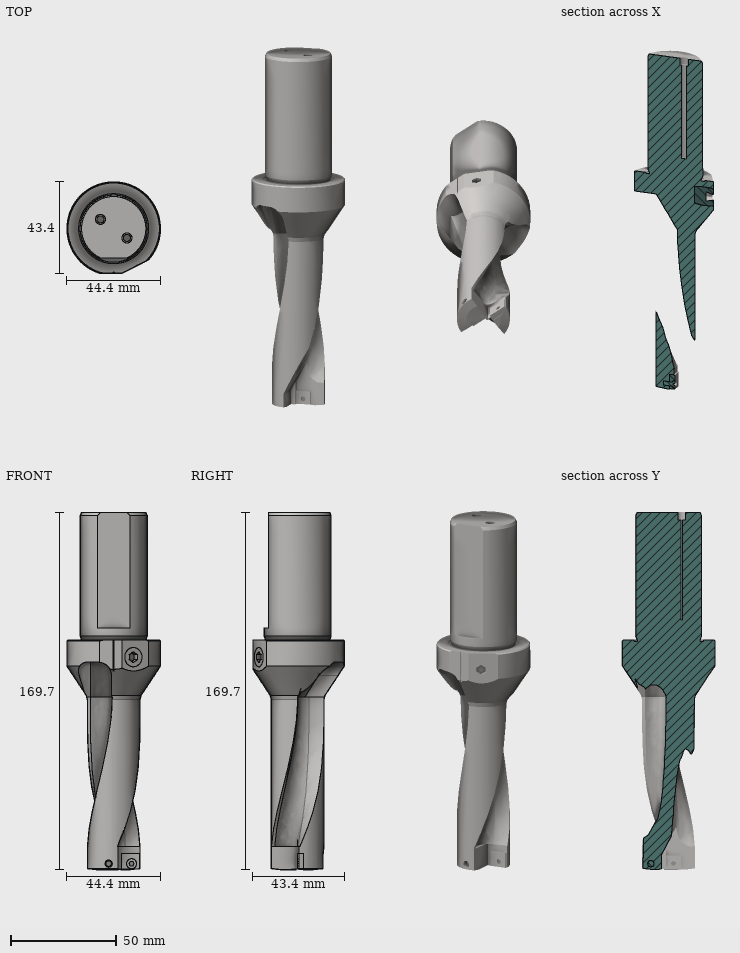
import cadquery as cq
import math

TOTAL_LENGTH = 169.7
OVERSHOOT = 8.5

DRILL_RADIUS = 12.5
TIP_CREST_RADIUS = 8.1
TIP_CENTRE_RISE = 0.3
TIP_RIM_RISE = 0.5

NECK_BOTTOM_Z = 80.8
CONE_BOTTOM_Z = 82.8
CONE_BOTTOM_RADIUS = 13.0
FLANGE_BOTTOM_Z = 96.7
FLANGE_TOP_Z = 109.1
FLANGE_RADIUS = 22.2
FLANGE_CHAMFER = 0.5
FLANGE_FLAT_OFFSET = 21.2
SCREW_FLAT_OFFSET = 20.7
SCREW_FLAT_TURN = 27.0
MARK_WIDTH = 0.5
MARK_DEPTH = 0.5

SHANK_RADIUS = 16.0
SHANK_CHAMFER_RADIUS = 15.3
SHANK_CHAMFER_HEIGHT = 1.5
SHANK_BOTTOM_Z = 111.0
SHANK_FLAT_OFFSET = 13.9
SHANK_FLAT_BOTTOM_Z = 114.9
RELIEF_RADIUS = 16.6
RELIEF_DEPTH = 0.5

COOLANT_X = 6.3
COOLANT_Y = -4.4
COOLANT_RADIUS = 1.7
COOLANT_DEPTH = 50.9
COOLANT_MOUTH_RADIUS = 2.4
COOLANT_MOUTH_DEPTH = 3.4

FLUTE_TOP_Z = 82.0
FLUTE_BOTTOM_Z = 11.0
FLUTE_TWIST = 82.0
FLUTE_TWIST_POWER = 1.75
FLUTE_SECTIONS = 12
FLUTE_FACE_X = -0.7
FLUTE_ARC_Y = -5.5
FLUTE_ARC_RADIUS = 6.5
FLUTE_LIP_X = -11.0
FLUTE_LIP_RISE = 0.8
FLUTE_REACH = 17.0

RUNOUT_SLOPE = 0.64
RUNOUT_TOP_Z = 98.6
RUNOUT_INNER_X = -1.0
RUNOUT_OUTER_X = -18.3
RUNOUT_START_X = -13.2
RUNOUT_LIP_RISE = 10.2
RUNOUT_INNER_RADIUS = 6.5
RUNOUT_OUTER_RADIUS = 4.2

POCKET_WALL_X = 2.0
POCKET_FLOOR_Y = 0.7
INSERT_THICKNESS = 2.7
INSERT_BOTTOM_Z = 0.3
OUTER_INSERT = {"inner_x": 3.7, "outer_x": 12.2, "height": 7.6, "screw_x": 8.5, "screw_length": 6.0}
INNER_INSERT = {"inner_x": -1.2, "outer_x": 6.0, "height": 6.6, "screw_x": 2.4, "screw_length": 9.2}

GULLET_WALL_X = -3.4
GULLET_STEP_Y = -1.2
GULLET_ROOF_AXIS_Z = 13.4
GULLET_ROOF_SLOPE = 1.9

INSERT_SCREW_Z = 2.9
INSERT_SCREW_RADIUS = 1.4
INSERT_SCREW_HEAD_RADIUS = 2.4
INSERT_SCREW_HEAD_HEIGHT = 1.7
INSERT_SOCKET_RADIUS = 1.2
INSERT_SOCKET_DEPTH = 1.0
SCREW_OUTLET_RADIUS = 1.7
SCREW_OUTLET_START = 8.5

SET_SCREW_X = 9.3
SET_SCREW_Z = 101.0
SET_SCREW_RADIUS = 4.5
SET_SCREW_LENGTH = 8.5
SET_SCREW_SOCKET_DIAMETER = 5.0
SET_SCREW_SOCKET_DEPTH = 3.4


def box(x_range, y_range, z_range):
    size = [high - low for low, high in (x_range, y_range, z_range)]
    return cq.Workplane("XY").box(*size, centered=False).translate((x_range[0], y_range[0], z_range[0]))


def half_turn(shape):
    return shape.rotate((0, 0, 0), (0, 0, 1), 180)


def turned_blank():
    outline = [
        (0, TIP_CENTRE_RISE),
        (TIP_CREST_RADIUS, 0),
        (DRILL_RADIUS, TIP_RIM_RISE),
        (DRILL_RADIUS, NECK_BOTTOM_Z),
        (CONE_BOTTOM_RADIUS, CONE_BOTTOM_Z),
        (FLANGE_RADIUS, FLANGE_BOTTOM_Z),
        (FLANGE_RADIUS, FLANGE_TOP_Z - FLANGE_CHAMFER),
        (FLANGE_RADIUS - FLANGE_CHAMFER, FLANGE_TOP_Z),
        (RELIEF_RADIUS, FLANGE_TOP_Z),
        (RELIEF_RADIUS, FLANGE_TOP_Z - RELIEF_DEPTH),
        (SHANK_CHAMFER_RADIUS, FLANGE_TOP_Z - RELIEF_DEPTH),
        (SHANK_CHAMFER_RADIUS, FLANGE_TOP_Z),
        (SHANK_RADIUS, SHANK_BOTTOM_Z),
        (SHANK_RADIUS, TOTAL_LENGTH - SHANK_CHAMFER_HEIGHT),
        (SHANK_CHAMFER_RADIUS, TOTAL_LENGTH),
        (0, TOTAL_LENGTH),
    ]
    return cq.Workplane("XZ").polyline(outline).close().revolve(360, (0, 0), (0, 1))


def front_cut(offset, bottom_z, top_z):
    """Material in front of the plane Y = -offset."""
    return box((-FLANGE_RADIUS, FLANGE_RADIUS), (-offset - OVERSHOOT, -offset), (bottom_z, top_z))


def flange_cuts():
    front = front_cut(FLANGE_FLAT_OFFSET, CONE_BOTTOM_Z, FLANGE_TOP_Z)
    slanted = front_cut(SCREW_FLAT_OFFSET, CONE_BOTTOM_Z, FLANGE_TOP_Z)
    slanted = slanted.rotate((0, 0, 0), (0, 0, 1), SCREW_FLAT_TURN)
    mark = box(
        (-MARK_WIDTH / 2, MARK_WIDTH / 2),
        (-FLANGE_RADIUS, MARK_DEPTH - FLANGE_FLAT_OFFSET),
        (CONE_BOTTOM_Z, FLANGE_TOP_Z),
    )
    return [front, slanted, mark]


def coolant_holes():
    holes = cq.Workplane("XY", origin=(0, 0, TOTAL_LENGTH))
    holes = holes.pushPoints([(COOLANT_X, COOLANT_Y), (-COOLANT_X, -COOLANT_Y)])
    bores = holes.circle(COOLANT_RADIUS).extrude(-COOLANT_DEPTH)
    return bores.union(holes.circle(COOLANT_MOUTH_RADIUS).extrude(-COOLANT_MOUTH_DEPTH))


def flute_wire(z, lip_rise=FLUTE_LIP_RISE):
    """Flute section at height z: a flat face, a round bottom that runs on from it, and a lip at the rim."""
    arc_x = FLUTE_FACE_X - FLUTE_ARC_RADIUS
    lip_y = FLUTE_ARC_Y + math.sqrt(FLUTE_ARC_RADIUS**2 - (arc_x - FLUTE_LIP_X) ** 2)
    section = (
        cq.Workplane("XY")
        .moveTo(FLUTE_FACE_X, -FLUTE_REACH)
        .lineTo(FLUTE_FACE_X, FLUTE_ARC_Y)
        .threePointArc((arc_x, FLUTE_ARC_Y + FLUTE_ARC_RADIUS), (FLUTE_LIP_X, lip_y))
        .lineTo(-FLUTE_REACH, lip_y + lip_rise)
        .lineTo(-FLUTE_REACH, -FLUTE_REACH)
        .close()
    )
    share = (FLUTE_TOP_Z - z) / (FLUTE_TOP_Z - FLUTE_BOTTOM_Z)
    turn = -FLUTE_TWIST * share ** FLUTE_TWIST_POWER
    return section.val().rotate(cq.Vector(0, 0, 0), cq.Vector(0, 0, 1), turn).translate(cq.Vector(0, 0, z))


def flute():
    step = (FLUTE_TOP_Z - FLUTE_BOTTOM_Z) / (FLUTE_SECTIONS - 1)
    wires = [flute_wire(FLUTE_BOTTOM_Z + i * step) for i in range(FLUTE_SECTIONS)]
    return cq.Workplane(cq.Solid.makeLoft(wires))


def flute_runout():
    """The top flute section carried up and outward through the cone, with a round upper end."""
    rise = FLANGE_TOP_Z - FLUTE_TOP_Z
    lower = flute_wire(FLUTE_TOP_Z)
    upper = flute_wire(FLUTE_TOP_Z, RUNOUT_LIP_RISE).translate(cq.Vector(0, -RUNOUT_SLOPE * rise, rise))
    channel = cq.Workplane(cq.Solid.makeLoft([lower, upper], True))
    depth = FLANGE_RADIUS + OVERSHOOT
    outline = [
        (RUNOUT_INNER_X, FLUTE_TOP_Z),
        (RUNOUT_INNER_X, RUNOUT_TOP_Z),
        (RUNOUT_OUTER_X, RUNOUT_TOP_Z),
        (RUNOUT_START_X, FLUTE_TOP_Z),
    ]
    opening = cq.Workplane("XZ").polyline(outline).close().extrude(depth, both=True)
    opening = opening.edges("|Y and >Z and >X").fillet(RUNOUT_INNER_RADIUS)
    opening = opening.edges("|Y and <X").fillet(RUNOUT_OUTER_RADIUS)
    return channel.intersect(opening)


def tip_pocket():
    return box((POCKET_WALL_X, FLUTE_REACH), (-FLUTE_REACH, POCKET_FLOOR_Y), (-OVERSHOOT, FLUTE_BOTTOM_Z))


def gullet():
    """Open space in front of the inner insert, with a stepped wall and a sloping roof."""
    wall_x = INNER_INSERT["inner_x"]
    plan = [
        (wall_x, POCKET_FLOOR_Y),
        (wall_x, GULLET_STEP_Y),
        (GULLET_WALL_X, GULLET_STEP_Y),
        (GULLET_WALL_X, -FLUTE_REACH),
        (FLUTE_REACH, -FLUTE_REACH),
        (FLUTE_REACH, POCKET_FLOOR_Y),
    ]
    roof_rise = GULLET_ROOF_SLOPE * FLUTE_REACH
    side = [
        (GULLET_WALL_X, -OVERSHOOT),
        (FLUTE_REACH, -OVERSHOOT),
        (FLUTE_REACH, GULLET_ROOF_AXIS_Z + roof_rise),
        (GULLET_WALL_X, GULLET_ROOF_AXIS_Z + GULLET_ROOF_SLOPE * GULLET_WALL_X),
    ]
    prism = cq.Workplane("XY", origin=(0, 0, -OVERSHOOT)).polyline(plan).close().extrude(TOTAL_LENGTH)
    return prism.intersect(cq.Workplane("XZ").polyline(side).close().extrude(FLUTE_REACH, both=True))


def insert_plate(sizes):
    return box((sizes["inner_x"], sizes["outer_x"]), (0, INSERT_THICKNESS), (INSERT_BOTTOM_Z, sizes["height"]))


def insert_seat(sizes):
    return box((sizes["inner_x"], sizes["outer_x"]), (0, INSERT_THICKNESS), (-OVERSHOOT, sizes["height"]))


def insert_screw_blank(sizes):
    outline = [
        (0, 0),
        (INSERT_SCREW_HEAD_RADIUS, 0),
        (INSERT_SCREW_RADIUS, INSERT_SCREW_HEAD_HEIGHT),
        (INSERT_SCREW_RADIUS, sizes["screw_length"]),
        (0, sizes["screw_length"]),
    ]
    blank = cq.Workplane("XY").polyline(outline).close().revolve(360, (0, 0), (0, 1))
    return blank.translate((sizes["screw_x"], 0, INSERT_SCREW_Z))


def insert_screw(sizes):
    socket = (
        cq.Workplane("XZ", origin=(sizes["screw_x"], 0, INSERT_SCREW_Z))
        .polygon(6, 2 * INSERT_SOCKET_RADIUS)
        .extrude(-INSERT_SOCKET_DEPTH)
    )
    return insert_screw_blank(sizes).cut(socket)


def cutting_insert(sizes):
    return insert_plate(sizes).cut(insert_screw_blank(sizes))


def screw_outlet(sizes):
    """Wider end of the screw hole, opening in the side of the drill body."""
    return (
        cq.Workplane("XZ", origin=(sizes["screw_x"], SCREW_OUTLET_START, INSERT_SCREW_Z))
        .circle(SCREW_OUTLET_RADIUS)
        .extrude(-DRILL_RADIUS)
    )


def set_screw_plane():
    """Plane on the slanted flange flat, centred on the set screw and facing outward."""
    turn = math.radians(SCREW_FLAT_TURN)
    y = (SET_SCREW_X * math.sin(turn) - SCREW_FLAT_OFFSET) / math.cos(turn)
    normal = (math.sin(turn), -math.cos(turn), 0)
    return cq.Plane(origin=(SET_SCREW_X, y, SET_SCREW_Z), xDir=(0, 0, 1), normal=normal)


def set_screw_blank():
    return cq.Workplane(set_screw_plane()).circle(SET_SCREW_RADIUS).extrude(-SET_SCREW_LENGTH)


def set_screw():
    socket = cq.Workplane(set_screw_plane()).polygon(6, SET_SCREW_SOCKET_DIAMETER).extrude(-SET_SCREW_SOCKET_DEPTH)
    return set_screw_blank().cut(socket)


def drill_holder():
    holder = turned_blank()
    holder = holder.cut(front_cut(SHANK_FLAT_OFFSET, SHANK_FLAT_BOTTOM_Z, TOTAL_LENGTH))
    for cut in flange_cuts():
        holder = holder.cut(cut)
    holder = holder.cut(coolant_holes())
    for cut in (flute(), flute_runout(), tip_pocket()):
        holder = holder.cut(cut).cut(half_turn(cut))
    holder = holder.cut(half_turn(gullet()))
    for cut in (insert_seat, insert_screw_blank):
        holder = holder.cut(cut(OUTER_INSERT)).cut(half_turn(cut(INNER_INSERT)))
    holder = holder.cut(half_turn(screw_outlet(INNER_INSERT)))
    return holder.cut(set_screw_blank())


holder = drill_holder()
inserts = [cutting_insert(OUTER_INSERT), half_turn(cutting_insert(INNER_INSERT))]
insert_screws = [insert_screw(OUTER_INSERT), half_turn(insert_screw(INNER_INSERT))]
flange_screw = set_screw()

result = cq.Compound.makeCompound(
    [body.val() for body in [holder, *inserts, *insert_screws, flange_screw]]
)